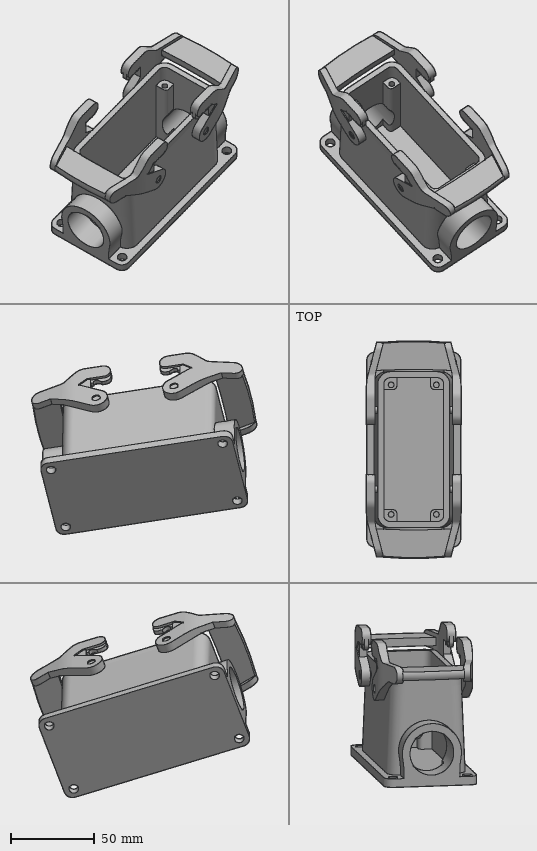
import cadquery as cq
import math

base_width = 56.4
base_length = 116.9
base_height = 5.2
base_corner_radius = 5.2
mount_hole_diameter = 5.6
mount_hole_x = 22.6
mount_hole_y = 52.3

body_length = 93.3
body_bottom_width = 47.6
rim_width = 43.0
rim_bottom_z = 58.5
rim_top_z = 64.1
body_corner_radius = 7.6

cavity_width = 35.9
cavity_length = 86.1
cavity_corner_radius = 3.9
post_size_x = 7.8
post_size_y = 7.2
post_corner_radius = 2.3
wall_overlap = 1.3
post_top_z = 52.2
post_hole_x = 13.6
post_hole_y = 38.8
post_hole_diameter = 3.4
post_hole_depth = 13.0

entry_z = 20.1
entry_boss_radius = 18.0
entry_bore_radius = 13.3
entry_neck_drop = 3.1
entry_foot_half_width = 17.0

arm_span = 57.0
arm_thickness = 5.4
arm_splay_angle = math.radians(14.5)
outer_bend_start = 35.6
outer_bend_end = 44.6
inner_bend_start = 41.8
inner_bend_end = 47.4

pivot_s = 23.8
pivot_z = 54.0
pivot_radius = 6.9
leg_angle = math.radians(31.5)
pin_diameter = 4.0
pin_recess_diameter = 5.0
pin_recess_depth = 0.8
pin_root_x = 19.6

lever_top_z = 83.0
grip_radius = 5.1
grip_z = 68.4
grip_tip_s = 64.3
shoulder_s = 43.8
shoulder_angle = math.radians(43)
crest_fillet = 8.0
shoulder_fillet = 3.9

hook_tip_s = 15.0
hook_crown_radius = 5.2
hook_lip_radius = 3.9
hook_throat_s = 27.3
hook_lip_z = 73.2
hook_lobe_z = 70.1
hook_lobe_radius = 3.7
hook_recess_depth = 1.5

throat_recess_depth = 0.8
throat_recess_tip_s = 34.6
throat_recess_top_s = 29.4

notch_start_s = 25.7
notch_crown_s = 24.0
notch_crown_z = 72.2
notch_end_s = 22.7
notch_end_z = 71.8
notch_ramp_end_s = 20.6

bar_thickness = 5.1
bar_tip_s = 65.2
bar_bow_radius = 195.8
bar_inner_hollow = 0.7

arm_outer_x = arm_span / 2
inner_arm_x = arm_outer_x - arm_thickness
splay_slope = math.tan(arm_splay_angle)
trim_margin = 1.3
reach_s = bar_tip_s + trim_margin


def rounded_block(width, length, bottom_z, top_z, radius):
    """Upright block centred on the Z axis with rounded vertical edges."""
    block = cq.Workplane("XY").workplane(offset=bottom_z).rect(width, length).extrude(top_z - bottom_z)
    return block.edges("|Z").fillet(radius)


def side_profile():
    """Workplane whose first axis is Y, second is Z, and which extrudes toward +X."""
    return cq.Workplane("YZ")


def make_base():
    base = rounded_block(base_width, base_length, 0, base_height, base_corner_radius)
    holes = (
        cq.Workplane("XY")
        .rect(2 * mount_hole_x, 2 * mount_hole_y, forConstruction=True)
        .vertices()
        .circle(mount_hole_diameter / 2)
        .extrude(base_height)
    )
    return base.cut(holes)


def make_body():
    """Rounded block whose long sides lean inward up to the rim band, then stand upright."""
    half_bottom = body_bottom_width / 2
    half_rim = rim_width / 2
    return (
        cq.Workplane("XZ", origin=(0, body_length / 2, 0))
        .moveTo(-half_bottom, base_height)
        .lineTo(-half_rim, rim_bottom_z)
        .lineTo(-half_rim, rim_top_z)
        .lineTo(half_rim, rim_top_z)
        .lineTo(half_rim, rim_bottom_z)
        .lineTo(half_bottom, base_height)
        .close()
        .extrude(body_length)
        .faces(">Y or <Y")
        .edges("not |X")
        .fillet(body_corner_radius)
    )


def make_entry_boss():
    """Round boss that narrows through a concave curve onto a straight foot."""
    neck_angle = math.asin(entry_neck_drop / entry_boss_radius)
    neck_x = entry_boss_radius * math.cos(neck_angle)
    neck_z = entry_z - entry_neck_drop
    blend_radius = (neck_x - entry_foot_half_width) / (1 - math.cos(neck_angle))
    blend_mid_x = entry_foot_half_width + blend_radius * (1 - math.cos(neck_angle / 2))
    foot_top_z = neck_z - blend_radius * math.sin(neck_angle)
    blend_mid_z = foot_top_z + blend_radius * math.sin(neck_angle / 2)
    return (
        cq.Workplane("XZ", origin=(0, base_length / 2, 0))
        .moveTo(-entry_foot_half_width, 0)
        .lineTo(-entry_foot_half_width, foot_top_z)
        .threePointArc((-blend_mid_x, blend_mid_z), (-neck_x, neck_z))
        .threePointArc((0, entry_z + entry_boss_radius), (neck_x, neck_z))
        .threePointArc((blend_mid_x, blend_mid_z), (entry_foot_half_width, foot_top_z))
        .lineTo(entry_foot_half_width, 0)
        .close()
        .extrude(base_length)
    )


def make_post():
    """Screw post in the +X +Y cavity corner; it reaches into the walls to fill the rounded corner."""
    size_x = post_size_x + wall_overlap
    size_y = post_size_y + wall_overlap
    post = (
        cq.Workplane("XY", origin=(cavity_width / 2 - post_size_x, cavity_length / 2 - post_size_y, 0))
        .rect(size_x, size_y, centered=False)
        .extrude(post_top_z)
        .edges("|Z")
        .edges("<X and <Y")
        .fillet(post_corner_radius)
    )
    hole = (
        cq.Workplane("XY", origin=(post_hole_x, post_hole_y, post_top_z))
        .circle(post_hole_diameter / 2)
        .extrude(-post_hole_depth)
    )
    return post.cut(hole)


def make_housing():
    housing = make_base().union(make_body()).union(make_entry_boss())
    housing = housing.cut(
        rounded_block(cavity_width, cavity_length, base_height, rim_top_z, cavity_corner_radius)
    )
    right_post = make_post()
    for post in (right_post, right_post.mirror("YZ")):
        housing = housing.union(post).union(post.mirror("XZ"))
    bore = (
        cq.Workplane("XZ", origin=(0, base_length / 2, entry_z))
        .circle(entry_bore_radius)
        .extrude(base_length)
    )
    return housing.cut(bore)


def upper_leg_z(s):
    """Height of the upper edge of the pivot leg at distance s."""
    return pivot_z + pivot_radius / math.cos(leg_angle) + (s - pivot_s) * math.tan(leg_angle)


def make_arm_profile():
    """Side outline of one arm as a slab reaching from the middle of the part to the outer face."""
    grip_s = grip_tip_s - grip_radius
    grip_top_z = grip_z + grip_radius
    grip_bottom_z = grip_z - grip_radius
    crest_s = shoulder_s - (lever_top_z - grip_top_z) / math.tan(shoulder_angle)
    tangent_s = pivot_radius * math.sin(leg_angle)
    tangent_z = pivot_radius * math.cos(leg_angle)
    lower_edge_rise = grip_bottom_z - pivot_z + pivot_radius / math.cos(leg_angle)
    heel_s = pivot_s + lower_edge_rise / math.tan(leg_angle)
    hook_diagonal = hook_crown_radius * (1 - math.sqrt(0.5))
    lobe_diagonal = hook_lobe_radius * (1 - math.sqrt(0.5))
    slab = (
        side_profile()
        .moveTo(heel_s, grip_bottom_z)
        .lineTo(grip_s, grip_bottom_z)
        .threePointArc((grip_tip_s, grip_z), (grip_s, grip_top_z))
        .lineTo(shoulder_s, grip_top_z)
        .lineTo(crest_s, lever_top_z)
        .lineTo(hook_tip_s + hook_crown_radius, lever_top_z)
        .threePointArc(
            (hook_tip_s + hook_diagonal, lever_top_z - hook_diagonal),
            (hook_tip_s, lever_top_z - hook_crown_radius),
        )
        .lineTo(hook_tip_s, hook_lobe_z + hook_lobe_radius)
        .threePointArc(
            (hook_tip_s + lobe_diagonal, hook_lobe_z + lobe_diagonal),
            (hook_tip_s + hook_lobe_radius, hook_lobe_z),
        )
        .lineTo(notch_ramp_end_s, hook_lobe_z)
        .lineTo(notch_end_s, notch_end_z)
        .threePointArc((notch_crown_s, notch_crown_z), (notch_start_s, hook_lobe_z))
        .lineTo(hook_throat_s, hook_lobe_z)
        .lineTo(hook_throat_s, upper_leg_z(hook_throat_s))
        .lineTo(pivot_s - tangent_s, pivot_z + tangent_z)
        .threePointArc(
            (pivot_s - pivot_radius * math.cos(leg_angle), pivot_z - pivot_radius * math.sin(leg_angle)),
            (pivot_s + tangent_s, pivot_z - tangent_z),
        )
        .close()
        .extrude(arm_outer_x)
    )
    crest_edge = cq.selectors.NearestToPointSelector((arm_outer_x / 2, crest_s, lever_top_z))
    shoulder_edge = cq.selectors.NearestToPointSelector((arm_outer_x / 2, shoulder_s, grip_top_z))
    slab = slab.edges(crest_edge).fillet(crest_fillet)
    return slab.edges(shoulder_edge).fillet(shoulder_fillet)


def make_arm_plan():
    """Plan of one arm: straight beside the body, then bent inward toward the handle."""
    outer_radius = (outer_bend_end - outer_bend_start) / math.sin(arm_splay_angle)
    outer_bend_x = arm_outer_x - outer_radius * (1 - math.cos(arm_splay_angle))
    outer_mid_x = arm_outer_x - outer_radius * (1 - math.cos(arm_splay_angle / 2))
    outer_mid_s = outer_bend_start + outer_radius * math.sin(arm_splay_angle / 2)
    inner_radius = (inner_bend_end - inner_bend_start) / math.sin(arm_splay_angle)
    inner_bend_x = inner_arm_x - inner_radius * (1 - math.cos(arm_splay_angle))
    inner_mid_x = inner_arm_x - inner_radius * (1 - math.cos(arm_splay_angle / 2))
    inner_mid_s = inner_bend_start + inner_radius * math.sin(arm_splay_angle / 2)
    return (
        cq.Workplane("XY")
        .moveTo(arm_outer_x, 0)
        .lineTo(arm_outer_x, outer_bend_start)
        .threePointArc((outer_mid_x, outer_mid_s), (outer_bend_x, outer_bend_end))
        .lineTo(outer_bend_x - (reach_s - outer_bend_end) * splay_slope, reach_s)
        .lineTo(inner_bend_x - (reach_s - inner_bend_end) * splay_slope, reach_s)
        .lineTo(inner_bend_x, inner_bend_end)
        .threePointArc((inner_mid_x, inner_mid_s), (inner_arm_x, inner_bend_start))
        .lineTo(inner_arm_x, 0)
        .close()
        .extrude(lever_top_z)
    )


def make_throat_recess():
    """Shallow pocket in the outer face, behind the throat of the hook."""
    return (
        side_profile()
        .workplane(offset=arm_outer_x - throat_recess_depth)
        .moveTo(hook_throat_s, upper_leg_z(hook_throat_s))
        .lineTo(throat_recess_tip_s, upper_leg_z(throat_recess_tip_s))
        .lineTo(throat_recess_top_s, hook_lip_z)
        .lineTo(hook_throat_s, hook_lip_z)
        .close()
        .extrude(throat_recess_depth)
    )


def make_hook_recess():
    """Step beside the hook lobe, which leaves the lobe as a rib inside the arm thickness."""
    diagonal = hook_lip_radius * (1 - math.sqrt(0.5))
    return (
        side_profile()
        .workplane(offset=arm_outer_x - hook_recess_depth)
        .moveTo(hook_throat_s, hook_lip_z)
        .lineTo(hook_tip_s + hook_lip_radius, hook_lip_z)
        .threePointArc(
            (hook_tip_s + diagonal, hook_lip_z + diagonal),
            (hook_tip_s, hook_lip_z + hook_lip_radius),
        )
        .lineTo(hook_tip_s, hook_lobe_z)
        .lineTo(hook_throat_s, hook_lobe_z)
        .close()
        .extrude(hook_recess_depth)
    )


def pivot_cylinder(diameter, start_x, end_x):
    return (
        cq.Workplane("YZ", origin=(start_x, pivot_s, pivot_z))
        .circle(diameter / 2)
        .extrude(end_x - start_x)
    )


def make_arm():
    """Arm on the +X side, with the pin that carries it on the body."""
    arm = make_arm_profile().intersect(make_arm_plan())
    hook_recess = make_hook_recess()
    to_inner_face = hook_recess_depth - arm_thickness
    arm = arm.cut(make_throat_recess()).cut(hook_recess).cut(hook_recess.translate((to_inner_face, 0, 0)))
    recess_floor_x = arm_outer_x - pin_recess_depth
    arm = arm.cut(pivot_cylinder(pin_recess_diameter, recess_floor_x, arm_outer_x))
    return arm.union(pivot_cylinder(pin_diameter, pin_root_x, recess_floor_x))


def make_bar():
    """Handle bar with a rounded, slightly bowed front and a hollow rear edge."""
    axis_s = bar_tip_s - bar_bow_radius
    half = bar_thickness / 2
    front_setback = grip_radius - math.sqrt(grip_radius**2 - half**2)
    front_radius = bar_bow_radius - front_setback
    bowed_disc = (
        cq.Workplane("XZ")
        .moveTo(0, grip_z - half)
        .lineTo(front_radius, grip_z - half)
        .threePointArc((bar_bow_radius, grip_z), (front_radius, grip_z + half))
        .lineTo(0, grip_z + half)
        .close()
        .revolve(360, (0, 0, 0), (0, 1, 0))
        .translate((0, axis_s, 0))
    )
    rear_x = inner_arm_x
    front_x = rear_x - (reach_s - inner_bend_end) * splay_slope
    plan = (
        cq.Workplane("XY")
        .moveTo(-rear_x, inner_bend_end)
        .threePointArc((0, inner_bend_end + bar_inner_hollow), (rear_x, inner_bend_end))
        .lineTo(front_x, reach_s)
        .lineTo(-front_x, reach_s)
        .close()
        .extrude(lever_top_z)
    )
    return plan.intersect(bowed_disc)


def make_lever():
    arm = make_arm()
    return arm.union(arm.mirror("YZ")).union(make_bar())


lever = make_lever()
result = make_housing().union(lever).union(lever.mirror("XZ"))